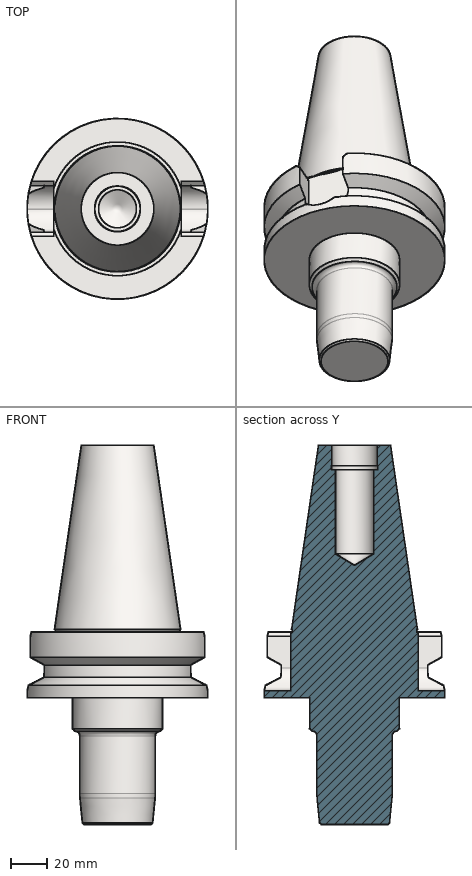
import cadquery as cq
import math

TAPER_LENGTH = 101.8
FLANGE_TOP = -1.5
FLANGE_BOTTOM = -38.0
UPPER_RIM_BOTTOM = -15.5
LOWER_RIM_TOP = -31.0
COLLAR_BOTTOM = -55.0
NOSE_TAPER_TOP = -91.9
NOSE_BOTTOM = -108.0

GAUGE_DIAMETER = 69.85
TAPER_RATIO = 7 / 24
TAPER_TOP_DIAMETER = GAUGE_DIAMETER - TAPER_RATIO * TAPER_LENGTH
NECK_DIAMETER = 69.25
NECK_TOP = -0.2
NECK_FILLET = 0.3
UNDERCUT_DIAMETER = 74.0
UNDERCUT_DEPTH = 0.25

FLANGE_DIAMETER = 100.0
GROOVE_DIAMETER = 85.0
GROOVE_FLANK_ANGLE = 30.0

COLLAR_DIAMETER = 50.0
NOSE_DIAMETER = 42.0
NOSE_END_DIAMETER = 38.8
COLLAR_CHAMFER = 1.5
SHOULDER_FILLET = 2.4
NOSE_BLEND_TANGENT = 1.3
NOSE_END_CHAMFER = 0.9

SLOT_WIDTH = 25.7
SLOT_FLOOR_X = 35.3
SLOT_BOTTOM = -34.0
SLOT_CHAMFER = 2.3
SLOT_CORNER_DIAMETER = 25.47

PILOT_DIAMETER = 25.02
PILOT_DEPTH = 11.3
RELIEF_DIAMETER = 25.47
RELIEF_DEPTH = 13.6
CORE_DIAMETER = 21.0
CORE_DEPTH = 60.0
DRILL_POINT_ANGLE = 118.0


def revolve_about_z(outline):
    """Turn a closed (r, z) outline in the XZ plane about the Z axis."""
    return outline.revolve(360, (0, 0, 0), (0, 1, 0))


def make_body():
    """Solid of revolution: taper, neck, grooved flange, collar and nose."""
    flange_radius = FLANGE_DIAMETER / 2
    groove_radius = GROOVE_DIAMETER / 2
    flank_height = (flange_radius - groove_radius) * math.tan(math.radians(GROOVE_FLANK_ANGLE))
    collar_radius = COLLAR_DIAMETER / 2
    nose_radius = NOSE_DIAMETER / 2
    neck_radius = NECK_DIAMETER / 2
    undercut_floor = FLANGE_TOP - UNDERCUT_DEPTH
    shoulder_z = COLLAR_BOTTOM - COLLAR_CHAMFER
    undercut_radius = UNDERCUT_DIAMETER / 2
    nose_end_radius = NOSE_END_DIAMETER / 2
    nose_angle = math.atan2(nose_radius - nose_end_radius, NOSE_TAPER_TOP - NOSE_BOTTOM)
    blend_radius = NOSE_BLEND_TANGENT / math.tan(nose_angle / 2)
    blend_end_radius = nose_radius - NOSE_BLEND_TANGENT * math.sin(nose_angle)
    blend_end_z = NOSE_TAPER_TOP - NOSE_BLEND_TANGENT * math.cos(nose_angle)
    outline = (
        cq.Workplane("XZ")
        .moveTo(0, TAPER_LENGTH)
        .lineTo(TAPER_TOP_DIAMETER / 2, TAPER_LENGTH)
        .lineTo(GAUGE_DIAMETER / 2, 0)
        .lineTo(neck_radius, NECK_TOP)
        .lineTo(neck_radius, undercut_floor + NECK_FILLET)
        .radiusArc((neck_radius + NECK_FILLET, undercut_floor), -NECK_FILLET)
        .lineTo(undercut_radius, undercut_floor)
        .lineTo(undercut_radius, FLANGE_TOP)
        .lineTo(flange_radius, FLANGE_TOP)
        .lineTo(flange_radius, UPPER_RIM_BOTTOM)
        .lineTo(groove_radius, UPPER_RIM_BOTTOM - flank_height)
        .lineTo(groove_radius, LOWER_RIM_TOP + flank_height)
        .lineTo(flange_radius, LOWER_RIM_TOP)
        .lineTo(flange_radius, FLANGE_BOTTOM)
        .lineTo(collar_radius, FLANGE_BOTTOM)
        .lineTo(collar_radius, COLLAR_BOTTOM)
        .lineTo(collar_radius - COLLAR_CHAMFER, shoulder_z)
        .lineTo(nose_radius + SHOULDER_FILLET, shoulder_z)
        .radiusArc((nose_radius, shoulder_z - SHOULDER_FILLET), -SHOULDER_FILLET)
        .lineTo(nose_radius, NOSE_TAPER_TOP + NOSE_BLEND_TANGENT)
        .radiusArc((blend_end_radius, blend_end_z), blend_radius)
        .lineTo(nose_end_radius, NOSE_BOTTOM)
        .lineTo(0, NOSE_BOTTOM)
        .close()
    )
    body = revolve_about_z(outline)
    return body.faces("<Z").chamfer(NOSE_END_CHAMFER)


def make_slot_cutter():
    """Slot on the +X side with a flared mouth and a bottom of two arcs and a narrow flat."""
    half_width = SLOT_WIDTH / 2
    mouth_half_width = half_width + SLOT_CHAMFER
    corner_radius = SLOT_CORNER_DIAMETER / 2
    corner_top = SLOT_BOTTOM + corner_radius
    flat_half_width = half_width - corner_radius
    outline = (
        cq.Workplane("YZ", origin=(SLOT_FLOOR_X, 0, 0))
        .moveTo(-mouth_half_width, FLANGE_TOP)
        .lineTo(-half_width, FLANGE_TOP - SLOT_CHAMFER)
        .lineTo(-half_width, corner_top)
        .radiusArc((-flat_half_width, SLOT_BOTTOM), -corner_radius)
        .lineTo(flat_half_width, SLOT_BOTTOM)
        .radiusArc((half_width, corner_top), -corner_radius)
        .lineTo(half_width, FLANGE_TOP - SLOT_CHAMFER)
        .lineTo(mouth_half_width, FLANGE_TOP)
        .lineTo(mouth_half_width, 0)
        .lineTo(-mouth_half_width, 0)
        .close()
    )
    return outline.extrude(FLANGE_DIAMETER / 2)


def make_bore():
    """Blind stepped bore from the small end of the taper, ending in a drill point."""
    core_radius = CORE_DIAMETER / 2
    point_height = core_radius / math.tan(math.radians(DRILL_POINT_ANGLE / 2))
    pilot_radius = PILOT_DIAMETER / 2
    relief_radius = RELIEF_DIAMETER / 2
    pilot_end = TAPER_LENGTH - PILOT_DEPTH
    relief_end = TAPER_LENGTH - RELIEF_DEPTH
    core_end = TAPER_LENGTH - CORE_DEPTH
    outline = cq.Workplane("XZ").polyline([
        (0, TAPER_LENGTH),
        (pilot_radius, TAPER_LENGTH),
        (pilot_radius, pilot_end),
        (relief_radius, pilot_end),
        (relief_radius, relief_end),
        (core_radius, relief_end),
        (core_radius, core_end),
        (0, core_end - point_height),
    ]).close()
    return revolve_about_z(outline)


slot_cutter = make_slot_cutter()
result = make_body().cut(make_bore())
for slot_angle in (0, 180):
    result = result.cut(slot_cutter.rotate((0, 0, 0), (0, 0, 1), slot_angle))